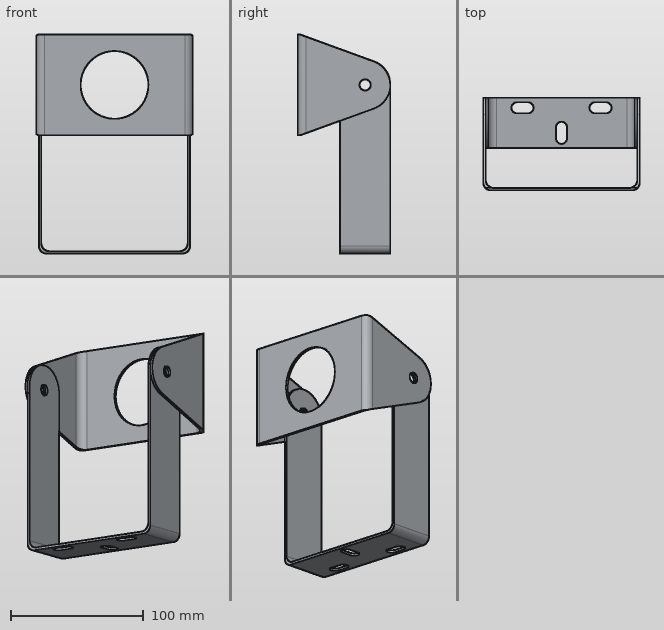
import cadquery as cq
import math

sheet = 2.0
bend_radius = 6.0

width = 118.0
depth = 69.8
height = 165.1

ear_radius = 19.0
pivot_hole_diameter = 8.3

plate_height = 76.0
window_diameter = 50.9

base_depth = 2 * ear_radius
slot_length = 16.5
slot_width = 8.1
side_slot_x = 29.4
side_slot_from_back = 7.6
center_slot_from_front = 11.5

base_width = width - 2 * sheet
base_front = depth - base_depth
pivot_y = depth - ear_radius
pivot_z = height - plate_height / 2
cutter_depth = 2 * sheet


def channel_profile(plane, channel_width, arm_length):
    """Closed U outline: web on local y = 0, arms along local +y, rounded bends."""
    half = channel_width / 2
    inner_half = half - sheet
    diagonal = bend_radius * (1 - math.sqrt(0.5))
    return (
        cq.Workplane(plane)
        .moveTo(-half, arm_length)
        .lineTo(-half, bend_radius)
        .threePointArc((-half + diagonal, diagonal), (-half + bend_radius, 0))
        .lineTo(half - bend_radius, 0)
        .threePointArc((half - diagonal, diagonal), (half, bend_radius))
        .lineTo(half, arm_length)
        .lineTo(inner_half, arm_length)
        .lineTo(inner_half, sheet + bend_radius)
        .threePointArc((inner_half - diagonal, sheet + diagonal), (inner_half - bend_radius, sheet))
        .lineTo(-inner_half + bend_radius, sheet)
        .threePointArc((-inner_half + diagonal, sheet + diagonal), (-inner_half, sheet + bend_radius))
        .lineTo(-inner_half, arm_length)
        .close()
    )


def side_plane():
    """Plane seen along X, with its origin on the pivot axis, local x = Y and local y = Z."""
    return cq.Plane(origin=(0, pivot_y, pivot_z), xDir=(0, 1, 0), normal=(1, 0, 0))


def pivot_hole():
    return cq.Workplane(side_plane()).circle(pivot_hole_diameter / 2).extrude(width, both=True)


def tilting_side_shape():
    """Side outline: a full-height plate tapering tangentially to the round ears."""
    front = -pivot_y
    taper_start = front + sheet
    half_height = plate_height / 2
    corner_distance = math.hypot(taper_start, half_height)
    taper_angle = math.atan2(half_height, -taper_start) - math.asin(ear_radius / corner_distance)
    tangent_x = ear_radius * math.sin(taper_angle)
    tangent_y = ear_radius * math.cos(taper_angle)
    return (
        cq.Workplane(side_plane())
        .moveTo(front, -half_height)
        .lineTo(taper_start, -half_height)
        .lineTo(tangent_x, -tangent_y)
        .threePointArc((ear_radius, 0), (tangent_x, tangent_y))
        .lineTo(taper_start, half_height)
        .lineTo(front, half_height)
        .close()
        .extrude(width, both=True)
    )


def make_tilting_bracket():
    plane = cq.Plane(origin=(0, 0, height - plate_height), xDir=(1, 0, 0), normal=(0, 0, 1))
    channel = channel_profile(plane, width, depth).extrude(plate_height)
    window = cq.Workplane("XZ", origin=(0, 0, pivot_z)).circle(window_diameter / 2).extrude(-cutter_depth)
    return channel.intersect(tilting_side_shape()).cut(window).cut(pivot_hole())


def base_side_shape():
    """Side outline: a straight strip with a full round at the top."""
    return (
        cq.Workplane(side_plane())
        .moveTo(-ear_radius, -pivot_z)
        .lineTo(ear_radius, -pivot_z)
        .lineTo(ear_radius, 0)
        .threePointArc((0, ear_radius), (-ear_radius, 0))
        .close()
        .extrude(width, both=True)
    )


def mounting_slots():
    side_slot_y = depth - side_slot_from_back
    side_slots = (
        cq.Workplane("XY")
        .pushPoints([(-side_slot_x, side_slot_y), (side_slot_x, side_slot_y)])
        .slot2D(slot_length, slot_width)
        .extrude(cutter_depth)
    )
    center_slot = (
        cq.Workplane("XY")
        .center(0, base_front + center_slot_from_front)
        .slot2D(slot_length, slot_width, 90)
        .extrude(cutter_depth)
    )
    return side_slots.add(center_slot).combine()


def make_base_bracket():
    plane = cq.Plane(origin=(0, base_front, 0), xDir=(1, 0, 0), normal=(0, -1, 0))
    channel = channel_profile(plane, base_width, pivot_z + ear_radius).extrude(-base_depth)
    return channel.intersect(base_side_shape()).cut(mounting_slots()).cut(pivot_hole())


tilting_bracket = make_tilting_bracket()
base_bracket = make_base_bracket()

result = cq.Compound.makeCompound([tilting_bracket.val(), base_bracket.val()])